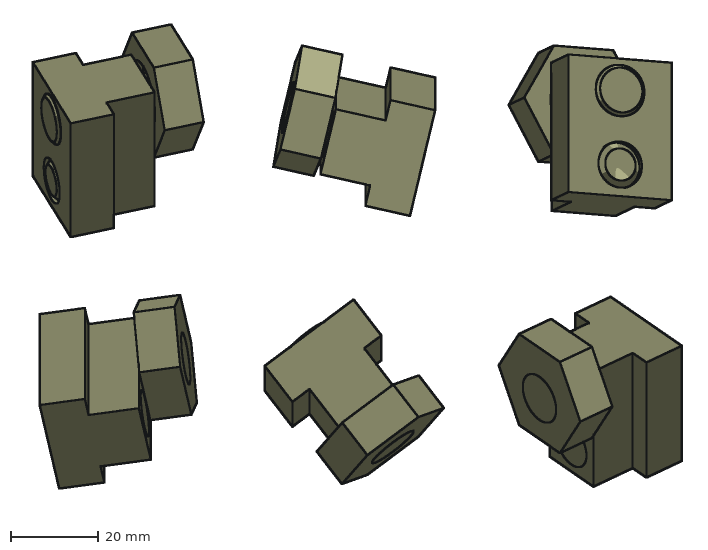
import cadquery as cq
import math

block_height = 32.1
flange_width = 25.55
flange_depth = 10.5
neck_width = 15.75
neck_depth = 11.68
block_depth = flange_depth + neck_depth

overall_height = 38.67
nut_corner_width = 29.3
nut_thickness = 9.5
nut_flat_width = nut_corner_width * math.cos(math.pi / 6)
nut_z = overall_height - nut_flat_width / 2
nut_back = block_depth + nut_thickness
recess_radius = 8.2
recess_depth = 2.98

stud_radius = 6.0
stud_z = 24.65
stud_projection = 0.65
stud_chamfer = 0.77

screw_radius = 5.38
screw_tip_radius = 3.75
screw_chamfer = screw_radius - screw_tip_radius
screw_z = 7.35
screw_projection = 0.15
cup_half_angle = 60
cup_depth = screw_tip_radius / math.tan(math.radians(cup_half_angle))


def cylinder_along_y(radius, start_y, end_y, centre_z):
    """Cylinder on x = 0 whose axis runs in +Y from start_y to end_y."""
    return cq.Workplane(
        cq.Solid.makeCylinder(radius, end_y - start_y, cq.Vector(0, start_y, centre_z), cq.Vector(0, 1, 0))
    )


def make_block():
    flange = cq.Workplane("XY").box(flange_width, flange_depth, block_height, centered=(True, False, False))
    neck = cq.Workplane("XY").box(neck_width, block_depth, block_height, centered=(True, False, False))
    stud_hole = cylinder_along_y(stud_radius, 0, block_depth, stud_z)
    screw_hole = cylinder_along_y(screw_radius, 0, block_depth, screw_z)
    return flange.union(neck).cut(stud_hole).cut(screw_hole)


def make_nut():
    hexagon = (
        cq.Workplane("XZ", origin=(0, nut_back, nut_z))
        .polygon(6, nut_corner_width)
        .extrude(nut_thickness)
    )
    recess = cylinder_along_y(recess_radius, block_depth, block_depth + recess_depth, nut_z)
    bore = cylinder_along_y(stud_radius, block_depth, nut_back, stud_z)
    return hexagon.cut(recess).cut(bore)


def make_stud():
    rod = cylinder_along_y(stud_radius, -stud_projection, nut_back, stud_z)
    return rod.faces("<Y").chamfer(stud_chamfer)


def make_set_screw():
    rod = cylinder_along_y(screw_radius, -screw_projection, block_depth, screw_z)
    tip_centre = cq.Vector(0, -screw_projection, screw_z)
    cup = cq.Solid.makeCone(screw_tip_radius, 0, cup_depth, tip_centre, cq.Vector(0, 1, 0))
    return rod.faces("<Y").chamfer(screw_chamfer).cut(cq.Workplane(cup))


block = make_block()
nut = make_nut()
stud = make_stud()
set_screw = make_set_screw()

bodies = [block, nut, stud, set_screw]
result = cq.Compound.makeCompound([body.solids().val() for body in bodies])